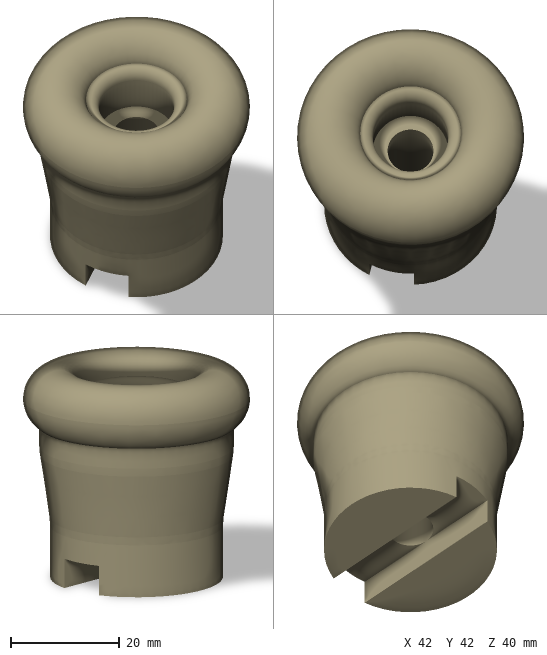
import cadquery as cq

overall_diameter = 42
overall_height = 39.97
rim_tube_radius = 6.0
base_radius = 16.0
collar_radius = 18.0
taper_bottom_z = 10.65
taper_top_z = 24.2
blend_radius = 10.5
bore_diameter = 8.5
counterbore_floor_z = 27.0
bead_tube_radius = 2.0
slot_width = bore_diameter
slot_height = 5.6

rim_centre_radius = overall_diameter / 2 - rim_tube_radius
rim_centre_z = overall_height - rim_tube_radius

bead_centre_radius = rim_centre_radius - rim_tube_radius
counterbore_radius = bead_centre_radius - bead_tube_radius


def make_body():
    """Base, taper and collar, with the corners of the taper blended."""
    outline = (
        cq.Workplane("XZ")
        .lineTo(base_radius, 0)
        .lineTo(base_radius, taper_bottom_z)
        .lineTo(collar_radius, taper_top_z)
        .lineTo(collar_radius, rim_centre_z)
        .lineTo(0, rim_centre_z)
        .close()
    )
    body = outline.revolve(360, (0, 0, 0), (0, 1, 0))
    taper_corners = cq.selectors.BoxSelector(
        (-overall_diameter, -overall_diameter, slot_height),
        (overall_diameter, overall_diameter, counterbore_floor_z),
    )
    return body.edges("%CIRCLE").edges(taper_corners).fillet(blend_radius)


def make_ring(centre_radius, tube_radius):
    """Full torus about Z at the height of the rim."""
    ring = cq.Solid.makeTorus(centre_radius, tube_radius)
    return cq.Workplane(obj=ring.translate(cq.Vector(0, 0, rim_centre_z)))


def make_counterbore():
    """Flat-floored counterbore, open at the top."""
    depth = overall_height - counterbore_floor_z
    floor = cq.Workplane("XY").workplane(offset=counterbore_floor_z)
    return floor.circle(counterbore_radius).extrude(depth)


def make_bore():
    """Hole along the whole axis."""
    return cq.Workplane("XY").circle(bore_diameter / 2).extrude(overall_height)


def make_slot():
    """Slot across the bottom face, open at both ends along Y."""
    return cq.Workplane("XY").box(
        slot_width, overall_diameter, slot_height, centered=(True, True, False)
    )


rim = make_ring(rim_centre_radius, rim_tube_radius)
bead = make_ring(bead_centre_radius, bead_tube_radius)
result = make_body().union(rim).union(bead)
for cutter in (make_counterbore(), make_bore(), make_slot()):
    result = result.cut(cutter)